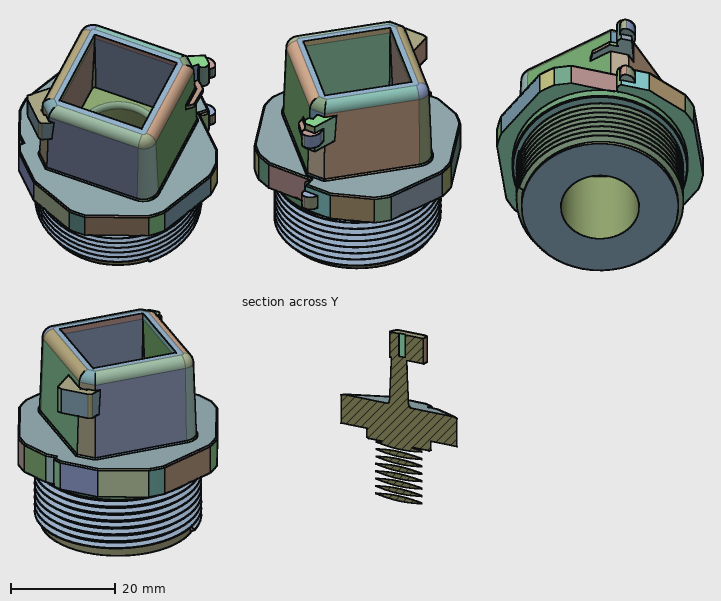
import cadquery as cq
import math

total_height = 38.7
collar_bottom = 13.0
flange_bottom = 15.0
flange_top = 21.0

thread_major_radius = 16
thread_minor_radius = 15.0
thread_turns = 8
thread_start = 1.0
thread_root_width = 1.4
thread_crest_width = 0.15
thread_embed = 0.1
collar_radius = 16.8
collar_chamfer = 0.2

flange_radius = 20
flange_apothem = 19.05
flange_chamfer = 0.3
flange_front = -19.0
flange_back = 18.5
flange_back_low = 16.5
step_x = -5.5
step_front = -17.5
nose_x = 0.5
nose_tip_x = 1.1

draft_angle = 2
head_half_diagonal = 17.35
head_flat = 15.5
head_corner_radius = 3.1
head_top_fillet = 2
foot_size = 0.3

cavity_side = 17.1
cavity_lip = 1.2
cavity_floor = flange_top
bore_radius = 7.5
bore_fillet = 1.0

tab_root = 10.8
front_tab_bottom = 30.4
front_tab_height = 5.2
front_tab_y = -16.85
front_tab_bevel = (0.9, 0.3)
front_tab_round_start = 0.9
front_tab_side_top = (1.7, -16.4)
front_tab_side_root = (2.65, -13.6)
front_slot_width = 1.35
front_slot_y = -15.3
back_tab_bottom = 30
back_tab_height = 6
back_tab_tip_x = -1.55
back_tab_root_x = -4.15
shelf_height = 1.0
shelf_back = 16.6
shelf_bevel_start = 2.3
shelf_side = (4.95, 13.7)
nub_height = 2.95
nub_left = -2.35
nub_right = 0.8
nub_root = 16.4
nub_shoulder = 17.5
nub_ramp_middle = (-1.75, 19.3)
nub_tip = (-0.1, 20)
nub_corner_middle = (0.55, 19.7)
nub_corner_end = 19.1


def prism(outline, bottom, height):
    """Extrude a closed 2D outline upward from a given level."""
    return outline.extrude(height).translate((0, 0, bottom))


def make_spigot():
    core = cq.Workplane("XY").circle(thread_minor_radius).extrude(flange_bottom)
    collar = (
        cq.Workplane("XY", origin=(0, 0, collar_bottom))
        .circle(collar_radius)
        .extrude(flange_bottom - collar_bottom)
        .faces("<Z").edges().chamfer(collar_chamfer)
    )
    root_radius = thread_minor_radius - thread_embed
    length = collar_bottom - thread_start
    helix = cq.Wire.makeHelix(length / thread_turns, length, root_radius)
    ridge = (
        cq.Workplane("XZ")
        .moveTo(root_radius, -thread_root_width / 2)
        .lineTo(thread_major_radius, -thread_crest_width / 2)
        .lineTo(thread_major_radius, thread_crest_width / 2)
        .lineTo(root_radius, thread_root_width / 2)
        .close()
        .sweep(cq.Workplane(helix), isFrenet=True)
        .translate((0, 0, thread_start))
    )
    return core.union(ridge).union(collar)


def make_nose(bottom, height):
    """Bulged stop at the back step, between the two back levels of the flange."""
    middle_y = (flange_back + flange_back_low) / 2
    outline = (
        cq.Workplane("XY")
        .moveTo(0, flange_back_low)
        .lineTo(0, flange_back)
        .lineTo(nose_x, flange_back)
        .threePointArc((nose_tip_x, middle_y), (nose_x, flange_back_low))
        .close()
    )
    return prism(outline, bottom, height)


def make_flange():
    height = flange_top - flange_bottom
    octagon = (
        cq.Workplane("XY")
        .polygon(8, 2 * flange_apothem / math.cos(math.pi / 8))
        .extrude(height)
    )
    rounded = octagon.intersect(cq.Workplane("XY").circle(flange_radius).extrude(height))
    span = 2 * flange_radius
    limits = (
        cq.Workplane("XY")
        .moveTo(step_x, flange_front)
        .lineTo(step_x, step_front)
        .lineTo(-span, step_front)
        .lineTo(-span, flange_back)
        .lineTo(nose_x, flange_back)
        .lineTo(nose_x, flange_back_low)
        .lineTo(span, flange_back_low)
        .lineTo(span, flange_front)
        .close()
        .extrude(height)
    )
    flange = rounded.intersect(limits).faces(">Z").edges().chamfer(flange_chamfer)
    nose = make_nose(flange_bottom, height - flange_chamfer)
    return flange.translate((0, 0, flange_bottom)).union(nose)


def head_outline(level):
    """Footprint of the head: a square on its corner, two corners flat and two rounded."""
    flat_half = head_half_diagonal - head_flat
    side_reach = head_half_diagonal - head_corner_radius * (math.sqrt(2) - 1)
    tangent_y = head_corner_radius * math.sin(math.pi / 4)
    tangent_x = head_half_diagonal - tangent_y
    return (
        cq.Workplane("XY", origin=(0, 0, level))
        .moveTo(flat_half, head_flat)
        .lineTo(-flat_half, head_flat)
        .lineTo(-tangent_x, tangent_y)
        .threePointArc((-side_reach, 0), (-tangent_x, -tangent_y))
        .lineTo(-flat_half, -head_flat)
        .lineTo(flat_half, -head_flat)
        .lineTo(tangent_x, -tangent_y)
        .threePointArc((side_reach, 0), (tangent_x, tangent_y))
        .close()
    )


def make_foot(level):
    """45 degree bevel that surrounds the drafted head just above a given level."""
    inset = (level - flange_top) * math.tan(math.radians(draft_angle))
    return head_outline(level).offset2D(foot_size - inset).extrude(foot_size, taper=45)


def make_head():
    head = head_outline(flange_top).extrude(total_height - flange_top, taper=draft_angle)
    head = head.faces(">Z").edges().fillet(head_top_fillet)
    return head.union(make_foot(flange_top))


def make_cavity():
    lip_level = total_height - cavity_lip
    lip = (
        cq.Workplane("XY", origin=(0, 0, lip_level))
        .rect(cavity_side, cavity_side)
        .extrude(cavity_lip)
    )
    lower = (
        cq.Workplane("XY", origin=(0, 0, lip_level))
        .rect(cavity_side, cavity_side)
        .extrude(cavity_floor - lip_level, taper=-draft_angle)
    )
    return lip.union(lower).rotate((0, 0, 0), (0, 0, 1), 45)


def make_bore():
    mouth_radius = bore_radius + bore_fillet
    arc_offset = bore_fillet * (1 - math.sqrt(0.5))
    return (
        cq.Workplane("XZ")
        .lineTo(bore_radius, 0)
        .lineTo(bore_radius, cavity_floor - bore_fillet)
        .threePointArc(
            (bore_radius + arc_offset, cavity_floor - arc_offset),
            (mouth_radius, cavity_floor),
        )
        .lineTo(0, cavity_floor)
        .close()
        .revolve(360, (0, 0, 0), (0, 1, 0))
    )


def make_front_tab():
    bevel_x, bevel_y = front_tab_bevel
    outline = (
        cq.Workplane("XY")
        .moveTo(step_x, -tab_root)
        .lineTo(step_x, front_tab_y + bevel_y)
        .lineTo(step_x + bevel_x, front_tab_y)
        .lineTo(front_tab_round_start, front_tab_y)
        .tangentArcPoint(front_tab_side_top, relative=False)
        .lineTo(*front_tab_side_root)
        .lineTo(0, -tab_root)
        .lineTo(0, front_slot_y)
        .lineTo(-front_slot_width, front_slot_y)
        .lineTo(-front_slot_width, -tab_root)
        .close()
    )
    return prism(outline, front_tab_bottom, front_tab_height)


def make_back_tab():
    outline = (
        cq.Workplane("XY")
        .moveTo(back_tab_root_x, tab_root)
        .lineTo(back_tab_tip_x, flange_back)
        .lineTo(0, flange_back)
        .lineTo(0, tab_root)
        .close()
    )
    tab = prism(outline, back_tab_bottom, back_tab_height)
    return tab.union(make_nose(back_tab_bottom, back_tab_height))


def make_back_shelf():
    """Low ledge beside the back tab, bevelled where it meets the head."""
    outline = (
        cq.Workplane("XY")
        .moveTo(0, tab_root)
        .lineTo(0, shelf_back)
        .lineTo(shelf_bevel_start, shelf_back)
        .lineTo(*shelf_side)
        .lineTo(shelf_side[0], tab_root)
        .close()
    )
    shelf = prism(outline, back_tab_bottom, shelf_height)
    space_above = shelf.translate((0, 0, shelf_height))
    bevel = make_foot(back_tab_bottom + shelf_height).intersect(space_above)
    return shelf.union(bevel)


def make_nub(bottom):
    outline = (
        cq.Workplane("XY")
        .moveTo(nub_left, nub_root)
        .lineTo(nub_left, nub_shoulder)
        .threePointArc(nub_ramp_middle, nub_tip)
        .threePointArc(nub_corner_middle, (nub_right, nub_corner_end))
        .lineTo(nub_right, flange_back)
        .lineTo(0, nub_root)
        .close()
    )
    return prism(outline, bottom, nub_height)


flange_nub_bottom = (flange_bottom + flange_top - nub_height) / 2
tab_nub_bottom = back_tab_bottom + (back_tab_height - nub_height) / 2

result = make_spigot().union(make_flange()).union(make_head())
for feature in (
    make_front_tab(),
    make_back_tab(),
    make_back_shelf(),
    make_nub(flange_nub_bottom),
    make_nub(tab_nub_bottom),
):
    result = result.union(feature)
result = result.cut(make_cavity()).cut(make_bore())